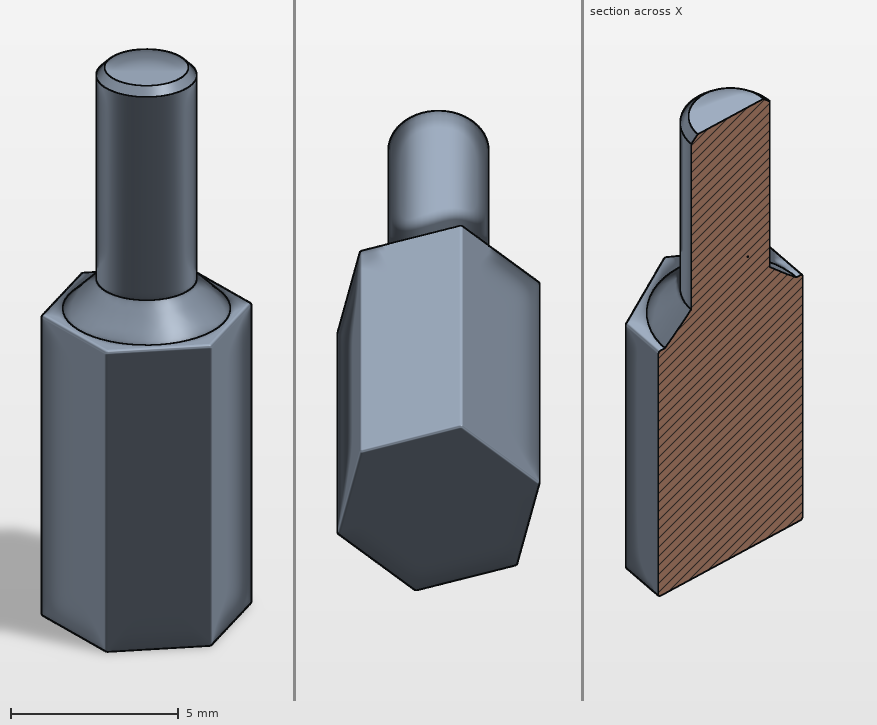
import cadquery as cq
import math

total_length = 18.0
hex_length = 10.0
across_flats = 5.5
edge_radius = 0.1
cone_base_diameter = 5.0
stud_diameter = 3.0
tip_chamfer = 0.25

across_corners = across_flats / math.cos(math.pi / 6)
cone_base_radius = cone_base_diameter / 2
stud_radius = stud_diameter / 2
cone_height = cone_base_radius - stud_radius
tip_radius = stud_radius - tip_chamfer


def make_hex_body():
    """Hexagonal prism with corners on the X axis and every edge rounded."""
    body = cq.Workplane("XY").polygon(6, across_corners).extrude(hex_length)
    return body.edges().fillet(edge_radius)


def make_stud():
    """Conical shoulder and chamfered stud, revolved about the Z axis."""
    return (
        cq.Workplane("XZ")
        .moveTo(0, hex_length)
        .lineTo(cone_base_radius, hex_length)
        .lineTo(stud_radius, hex_length + cone_height)
        .lineTo(stud_radius, total_length - tip_chamfer)
        .lineTo(tip_radius, total_length)
        .lineTo(0, total_length)
        .close()
        .revolve(360, (0, 0, 0), (0, 1, 0))
    )


result = make_hex_body().union(make_stud())